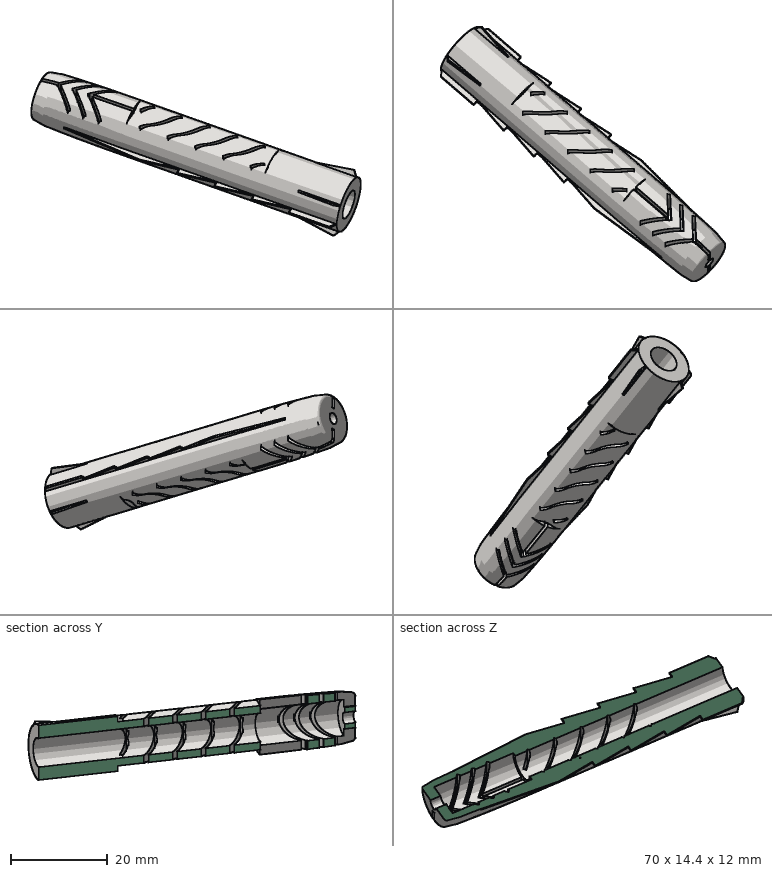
import cadquery as cq
import math

length = 70.0
outer_radius = 12.0 / 2
head_length = 21.0

overshoot = 1.4

face_radius = 4.55
nose_edge_x = 0.5
nose_edge_radius = 5.25
nose_cone_x = 3.0
nose_cone_radius = 5.7
head_mid_x = 9.8
head_mid_radius = 5.9

cap_thickness = 2.45
pilot_radius = 2.4 / 2
head_bore_radius = 3.9
body_bore_radius = 3.1

slit_width = 0.7
slit_floor = 2.4
chevron_count = 3
chevron_tip_x = 3.65
chevron_pitch = 3.5
chevron_width = 0.6
chevron_half_height = 4.55

window_start = head_length
window_end = 52.5
window_half_width = 6.5 / 2
valley_radius = 8.4 / 2
valley_half_width = 1.6
hump_radius = 1.8

diagonal_pitch = 6.3
diagonal_width = 0.6
diagonal_angle = 43.5
diagonal_half_height = 3.15
diagonal_end_margin = 1.2

fin_thickness = 0.4
fin_tip_radius = 7.2
fin_root_radius = 5.6
fin_end_gap = 0.3
fin_chamfer_x = 68.9
side_fin_start = 8.0
side_fin_start_radius = 5.9
first_barb_x = 25.75
barb_pitch = 8.5
barb_count = 4
corner_fin_start = 60.5
corner_fin_angles = (45, 135, 225, 315)


def make_sleeve():
    """Solid of revolution: closed nose with a pilot hole, stepped bore behind it."""
    outline = (
        cq.Workplane("XY")
        .moveTo(0, pilot_radius)
        .lineTo(0, face_radius)
        .radiusArc((nose_edge_x, nose_edge_radius), nose_edge_radius - face_radius)
        .lineTo(nose_cone_x, nose_cone_radius)
        .threePointArc((head_mid_x, head_mid_radius), (head_length, outer_radius))
        .lineTo(length, outer_radius)
        .lineTo(length, body_bore_radius)
        .lineTo(head_length, body_bore_radius)
        .lineTo(head_length, head_bore_radius)
        .lineTo(cap_thickness, head_bore_radius)
        .lineTo(cap_thickness, pilot_radius)
        .close()
    )
    return outline.revolve(360, (0, 0, 0), (1, 0, 0))


def make_side_fin():
    """Barbed fin along the +Y side."""
    points = [(side_fin_start, fin_root_radius), (side_fin_start, side_fin_start_radius)]
    for barb in range(barb_count):
        barb_x = first_barb_x + barb * barb_pitch
        points.append((barb_x, fin_tip_radius))
        points.append((barb_x + barb_pitch, outer_radius))
    points += [
        (first_barb_x + barb_count * barb_pitch, fin_tip_radius),
        (fin_chamfer_x, fin_tip_radius),
        (length - fin_end_gap, outer_radius),
        (length - fin_end_gap, fin_root_radius),
    ]
    return cq.Workplane("XY").polyline(points).close().extrude(fin_thickness / 2, both=True)


def make_corner_fin():
    """Short ramp fin at the open end, on the +Y side before it is turned into place."""
    points = [
        (corner_fin_start, fin_root_radius),
        (corner_fin_start, outer_radius),
        (fin_chamfer_x, fin_tip_radius),
        (length - fin_end_gap, outer_radius),
        (length - fin_end_gap, fin_root_radius),
    ]
    return cq.Workplane("XY").polyline(points).close().extrude(fin_thickness / 2, both=True)


def turn(body, angle):
    """Rotate a body about the sleeve axis."""
    return body.rotate((0, 0, 0), (1, 0, 0), angle)


def make_window():
    """Recess above the double-humped floor on the +Z side."""
    edge_z = math.sqrt(outer_radius**2 - window_half_width**2)
    joint_angle = math.asin(valley_half_width / valley_radius)
    hump_y = valley_half_width + hump_radius * math.sin(joint_angle)
    hump_z = edge_z - math.sqrt(hump_radius**2 - (window_half_width - hump_y) ** 2)
    joint_z = hump_z + hump_radius * math.cos(joint_angle)
    valley_z = joint_z - valley_radius * (1 - math.cos(joint_angle))
    crest_z = hump_z + hump_radius
    top_z = outer_radius + overshoot
    outline = (
        cq.Workplane("YZ", origin=(window_start, 0, 0))
        .moveTo(-window_half_width, top_z)
        .lineTo(-window_half_width, edge_z)
        .threePointArc((-hump_y, crest_z), (-valley_half_width, joint_z))
        .threePointArc((0, valley_z), (valley_half_width, joint_z))
        .threePointArc((hump_y, crest_z), (window_half_width, edge_z))
        .lineTo(window_half_width, top_z)
        .close()
    )
    return outline.extrude(window_end - window_start)


def cut_depth(sketch):
    """Extrude a sketch on the XY plane through the full height of the sleeve."""
    return sketch.extrude(outer_radius + overshoot, both=True)


def make_straight_slit(start, end):
    """Slit in the XZ plane, cut through from top to bottom."""
    sketch = cq.Workplane("XY").center((start + end) / 2, 0).rect(end - start, slit_width)
    return cut_depth(sketch)


def make_nose_slit(side):
    """Radial slit in the closed nose, above (side = 1) or below (side = -1) the pilot hole."""
    slit_height = outer_radius + overshoot - slit_floor
    slit_length = cap_thickness + overshoot
    slit = cq.Workplane("XY").box(slit_length, slit_width, slit_height)
    return slit.translate((slit_length / 2, 0, side * (slit_floor + slit_height / 2)))


def make_chevron(tip_x):
    """V-shaped slit of two square-ended arms at 45 degrees, pointing to the nose."""
    end_step = chevron_width / math.sqrt(2)
    reach = chevron_half_height
    points = [
        (tip_x, 0),
        (tip_x + reach, reach),
        (tip_x + reach + end_step, reach - end_step),
        (tip_x + 2 * end_step, 0),
        (tip_x + reach + end_step, end_step - reach),
        (tip_x + reach, -reach),
    ]
    return cut_depth(cq.Workplane("XY").polyline(points).close())


def make_diagonal_slit(middle_x):
    """Square-ended slit leaning across a window, kept clear of the window's ends."""
    run = diagonal_half_height / math.tan(math.radians(diagonal_angle))
    start_x = max(middle_x - run, window_start + diagonal_end_margin)
    end_x = min(middle_x + run, window_end - diagonal_end_margin)
    slit_length = (end_x - start_x) / math.cos(math.radians(diagonal_angle))
    centre_x = (start_x + end_x) / 2
    centre_y = (centre_x - middle_x) * math.tan(math.radians(diagonal_angle))
    sketch = cq.Workplane("XY").rect(slit_length, diagonal_width)
    slit = cut_depth(sketch).rotate((0, 0, 0), (0, 0, 1), diagonal_angle)
    return slit.translate((centre_x, centre_y, 0))


result = make_sleeve()

for angle in (0, 180):
    result = result.union(turn(make_side_fin(), angle))
for angle in corner_fin_angles:
    result = result.union(turn(make_corner_fin(), angle))

for angle in (0, 180):
    result = result.cut(turn(make_window(), angle))

for side in (1, -1):
    result = result.cut(make_nose_slit(side))
for chevron in range(chevron_count):
    result = result.cut(make_chevron(chevron_tip_x + chevron * chevron_pitch))
first_chevron_joint = chevron_tip_x + chevron_width / 2
last_chevron_joint = first_chevron_joint + (chevron_count - 1) * chevron_pitch
result = result.cut(make_straight_slit(cap_thickness, first_chevron_joint))
result = result.cut(make_straight_slit(last_chevron_joint, head_length))

diagonal_count = round((window_end - window_start) / diagonal_pitch) + 1
for index in range(diagonal_count):
    result = result.cut(make_diagonal_slit(window_start + index * diagonal_pitch))